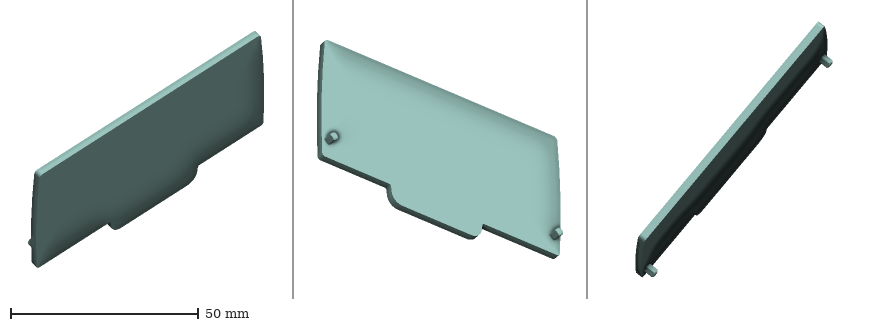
import cadquery as cq
import math

thickness = 2.1
length = 78.8
height = 44.4
half_length = length / 2
shoulder_z = 5.4
side_radius = 275.8
widest_z = 18.5
top_corner_radius = 1.2
bottom_corner_radius = 0.95

tab_center_y = 1.4
tab_top_half_width = 15.1
tab_bottom_half_width = 14.4
tab_corner_radius = 3.55
tab_root_radius = 0.6

pin_length = 3.0
pin_y = 37.05
pin_z = 11.1
pin_diagonal = 2.5
pin_edge_flat = 0.4
tip_diameter = 1.6
tip_length = 0.3


def side_y(z):
    """Half length of the bowed plate at height z."""
    rise = z - widest_z
    return half_length - side_radius + math.sqrt(side_radius**2 - rise**2)


def make_plate():
    top_y = side_y(height)
    bottom_y = side_y(shoulder_z)
    outline = (
        cq.Workplane("YZ")
        .moveTo(-top_y, height)
        .lineTo(top_y, height)
        .threePointArc((half_length, widest_z), (bottom_y, shoulder_z))
        .lineTo(tab_center_y + tab_top_half_width, shoulder_z)
        .lineTo(tab_center_y + tab_bottom_half_width, 0)
        .lineTo(tab_center_y - tab_bottom_half_width, 0)
        .lineTo(tab_center_y - tab_top_half_width, shoulder_z)
        .lineTo(-bottom_y, shoulder_z)
        .threePointArc((-half_length, widest_z), (-top_y, height))
        .close()
    )
    plate = outline.extrude(thickness)

    def round_corners(body, y, z, radius):
        reach = 0.1
        corner = cq.selectors.BoxSelector(
            (-reach, y - reach, z - reach),
            (thickness + reach, y + reach, z + reach),
        )
        return body.edges("|X").edges(corner).fillet(radius)

    for side in (-1, 1):
        plate = round_corners(plate, side * top_y, height, top_corner_radius)
        plate = round_corners(plate, side * bottom_y, shoulder_z, bottom_corner_radius)
        tab_top_y = tab_center_y + side * tab_top_half_width
        tab_bottom_y = tab_center_y + side * tab_bottom_half_width
        plate = round_corners(plate, tab_top_y, shoulder_z, tab_root_radius)
        plate = round_corners(plate, tab_bottom_y, 0, tab_corner_radius)
    return plate


def make_pin(y):
    reach = pin_diagonal / 2
    half_flat = pin_edge_flat / 2
    section = [
        (reach, half_flat),
        (half_flat, reach),
        (-half_flat, reach),
        (-reach, half_flat),
        (-reach, -half_flat),
        (-half_flat, -reach),
        (half_flat, -reach),
        (reach, -half_flat),
    ]
    base = cq.Workplane("YZ").center(y, pin_z)
    bar = base.polyline(section).close().extrude(-pin_length)

    slope = (pin_diagonal - tip_diameter) / 2 / tip_length
    envelope_radius = tip_diameter / 2 + slope * pin_length
    envelope = cq.Workplane(
        cq.Solid.makeCone(
            envelope_radius,
            tip_diameter / 2,
            pin_length,
            pnt=cq.Vector(0, y, pin_z),
            dir=cq.Vector(-1, 0, 0),
        )
    )
    return bar.intersect(envelope)


result = make_plate()
for pin_side in (-1, 1):
    result = result.union(make_pin(pin_side * pin_y))